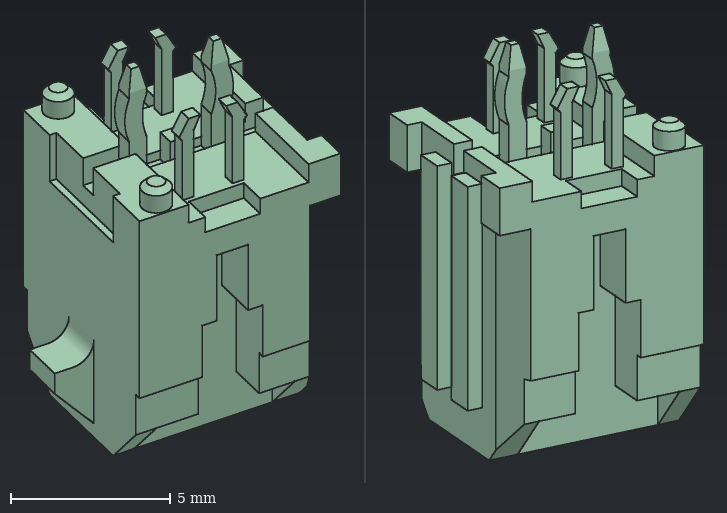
import cadquery as cq


half_width = 3.57
housing_depth = 6.82
deck_z = 9.23
housing_top = 9.92
nose_half_width = 3.35
nose_step_z = 3.17
bevel_top_z = 1.64
bottom_half_width = 1.95
corner_bevel_x = 1.18
corner_bevel_y = 0.6

front_block_depth = 1.79
rear_block_start = 6.17
rear_overhang = 0.52
rear_y = housing_depth + rear_overhang
rear_corner_inner_x = 2.4
rear_corner_underside_z = 8.31
rear_rib_width = 1.05
rear_rib_x = 0.98

slot_width = 0.63
slot_floor_z = 8.89
front_recess_depth = 0.25
front_recess_floor_z = 8.15
deck_notch_inner_x = 2.57
deck_notch_width = 2.0
deck_notch_center_y = 3.4
deck_notch_floor_z = 8.65
side_channel_center_y = 3.39
side_channel_width = 2.21
side_channel_step_z = 5.13
side_channel_narrow_width = 1.14
side_channel_top_z = 7.63
skirt_front_y = 0.76
skirt_back_y = 5.8

latch_width = 1.53
latch_reach = 1.43
latch_root_z = 0.54
latch_tip_z = 2.17
latch_top_z = 2.95
latch_fillet = 0.76
latch_anchor_depth = 0.26

post_x = 3.01
post_y = 0.94
post_radius = 0.51
post_top_z = 10.79
post_chamfer = 0.21

contact_center_y = 3.38
contact_root_z = 8.12
stub_depth = 0.63
pin_thickness = 0.64
pin_inner_offset = 1.18
pin_outer_offset = pin_inner_offset + pin_thickness
pin_center_offset = (pin_inner_offset + pin_outer_offset) / 2
pin_bow = 0.16
pin_bow_start_z = 10.46
pin_bow_end_z = 12.1
pin_bow_middle_z = (pin_bow_start_z + pin_bow_end_z) / 2
pin_shoulder_z = 12.3
pin_top_z = 13.09
pin_tip_width = 0.31

clip_inner_x = 1.95
clip_width = 0.46
clip_inner_offset = 0.71
clip_outer_offset = 1.13
clip_barb_offset = 1.25
clip_barb_z = 11.65
clip_stem_top_z = 11.5
clip_bend_z = 11.75
clip_top_z = 12.27
clip_top_inner_offset = 0.47
clip_top_outer_offset = 0.89


def block(x0, x1, y0, y1, z0, z1):
    """Axis-aligned box between two corners."""
    return cq.Workplane("XY").box(x1 - x0, y1 - y0, z1 - z0, centered=False).translate((x0, y0, z0))


def profile_along_x(points, x0, width):
    """Straight-sided YZ outline extruded from x0 towards +X."""
    return cq.Workplane("YZ").workplane(offset=x0).polyline(points).close().extrude(width)


def both_sides(shape):
    """A shape together with its mirror image across X = 0."""
    return shape.union(shape.mirror("YZ"))


def both_contacts(shape):
    """A shape together with its mirror image across the contact centre line."""
    return shape.union(shape.mirror("XZ", (0, contact_center_y, 0)))


def housing_core():
    """Stepped and bevelled body up to the deck, with the rear vertical edges bevelled."""
    right_edge = [
        (bottom_half_width, 0),
        (nose_half_width, bevel_top_z),
        (nose_half_width, nose_step_z),
        (half_width, nose_step_z),
        (half_width, deck_z),
    ]
    left_edge = [(-x, z) for x, z in reversed(right_edge)]
    core = cq.Workplane("XZ").polyline(right_edge + left_edge).close().extrude(-housing_depth)
    rear_bevel = (
        cq.Workplane("XY")
        .moveTo(half_width, housing_depth)
        .lineTo(half_width, housing_depth - corner_bevel_y)
        .lineTo(half_width - corner_bevel_x, housing_depth)
        .close()
        .extrude(rear_corner_underside_z)
    )
    return core.cut(both_sides(rear_bevel))


def raised_blocks():
    """Front block, rear wall, overhanging rear corners and rear ribs level with the deck."""
    front = block(-half_width, half_width, 0, front_block_depth, deck_z, housing_top)
    rear = block(-half_width, half_width, rear_block_start, housing_depth, deck_z, housing_top)
    corner = block(
        rear_corner_inner_x, half_width, rear_block_start, rear_y, rear_corner_underside_z, housing_top
    )
    rib = block(
        rear_rib_x - rear_rib_width / 2,
        rear_rib_x + rear_rib_width / 2,
        rear_block_start,
        rear_y,
        bevel_top_z,
        deck_z,
    )
    return front.union(rear).union(both_sides(corner.union(rib)))


def housing_cuts():
    """Centre slot, front recess, deck notches, stepped side channels and skirt cutbacks."""
    slot = block(-slot_width / 2, slot_width / 2, 0, housing_depth, slot_floor_z, housing_top)
    recess = block(
        -bottom_half_width, bottom_half_width, 0, front_recess_depth, front_recess_floor_z, housing_top
    )

    def side_cut(inner_x, center_y, width, z0, z1):
        return block(inner_x, half_width, center_y - width / 2, center_y + width / 2, z0, z1)

    notch = side_cut(deck_notch_inner_x, deck_notch_center_y, deck_notch_width, deck_notch_floor_z, deck_z)
    wide_channel = side_cut(
        bottom_half_width, side_channel_center_y, side_channel_width, 0, side_channel_step_z
    )
    narrow_channel = side_cut(
        bottom_half_width, side_channel_center_y, side_channel_narrow_width, 0, side_channel_top_z
    )
    skirt = block(bottom_half_width, half_width, skirt_front_y, skirt_back_y, 0, bevel_top_z)
    side_cuts = notch.union(wide_channel).union(narrow_channel).union(skirt)
    return slot.union(recess).union(both_sides(side_cuts))


def latch():
    """Hook with a concave root on top and a ramp underneath, anchored into the housing."""
    fillet_top_z = latch_top_z + latch_fillet
    return (
        cq.Workplane("YZ")
        .workplane(offset=-latch_width / 2)
        .moveTo(latch_anchor_depth, latch_root_z)
        .lineTo(0, latch_root_z)
        .lineTo(-latch_reach, latch_tip_z)
        .lineTo(-latch_reach, latch_top_z)
        .lineTo(-latch_fillet, latch_top_z)
        .radiusArc((0, fillet_top_z), -latch_fillet)
        .lineTo(latch_anchor_depth, fillet_top_z)
        .close()
        .extrude(latch_width)
    )


def locating_posts():
    """Pair of chamfered round posts standing on the front block."""
    post = (
        cq.Workplane("XY")
        .workplane(offset=deck_z)
        .center(post_x, post_y)
        .circle(post_radius)
        .extrude(post_top_z - deck_z)
        .faces(">Z")
        .chamfer(post_chamfer)
    )
    return both_sides(post)


def pins():
    """Pair of board pins bowed away from each other, with tapered tips."""
    inner_y = contact_center_y + pin_inner_offset
    outer_y = contact_center_y + pin_outer_offset
    stem = (
        cq.Workplane("YZ")
        .workplane(offset=-slot_width / 2)
        .moveTo(inner_y, contact_root_z)
        .lineTo(outer_y, contact_root_z)
        .lineTo(outer_y, pin_bow_start_z)
        .threePointArc((outer_y + pin_bow, pin_bow_middle_z), (outer_y, pin_bow_end_z))
        .lineTo(outer_y, pin_shoulder_z)
        .lineTo(inner_y, pin_shoulder_z)
        .lineTo(inner_y, pin_bow_end_z)
        .threePointArc((inner_y + pin_bow, pin_bow_middle_z), (inner_y, pin_bow_start_z))
        .close()
        .extrude(slot_width)
    )
    tip = (
        cq.Workplane("XY")
        .workplane(offset=pin_shoulder_z)
        .center(0, contact_center_y + pin_center_offset)
        .rect(slot_width, pin_thickness)
        .workplane(offset=pin_top_z - pin_shoulder_z)
        .rect(pin_tip_width, pin_tip_width)
        .loft()
    )
    return both_contacts(stem.union(tip))


def clips():
    """Four barbed solder clips whose tops lean towards each other."""
    outline = [
        (clip_inner_offset, contact_root_z),
        (clip_outer_offset, contact_root_z),
        (clip_outer_offset, clip_stem_top_z),
        (clip_barb_offset, clip_barb_z),
        (clip_top_outer_offset, clip_top_z),
        (clip_top_inner_offset, clip_top_z),
        (clip_inner_offset, clip_bend_z),
    ]
    points = [(contact_center_y + offset, z) for offset, z in outline]
    return both_sides(both_contacts(profile_along_x(points, clip_inner_x, clip_width)))


def center_stub():
    """Square stub standing in the slot between the pins."""
    return block(
        -slot_width / 2,
        slot_width / 2,
        contact_center_y - stub_depth / 2,
        contact_center_y + stub_depth / 2,
        contact_root_z,
        housing_top,
    )


result = (
    housing_core()
    .union(raised_blocks())
    .cut(housing_cuts())
    .union(latch())
    .union(locating_posts())
    .union(pins())
    .union(clips())
    .union(center_stub())
)